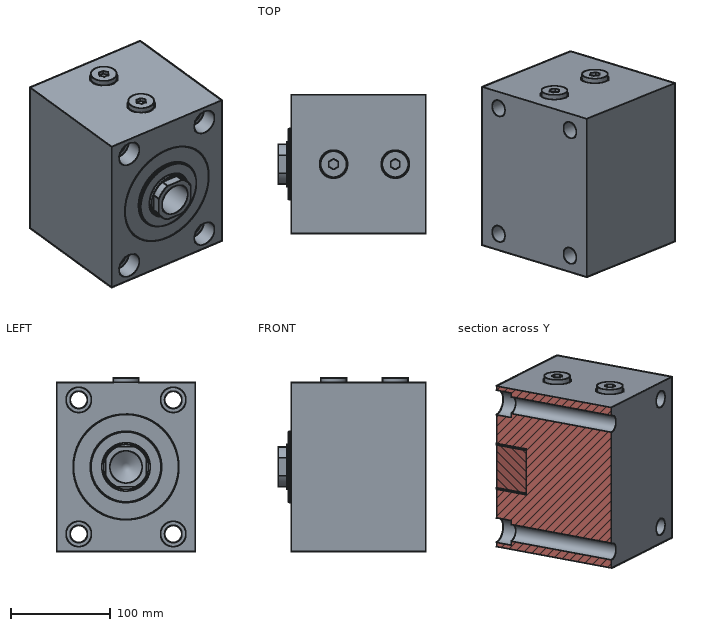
import cadquery as cq
import math

BLOCK_LENGTH = 135.7
BLOCK_WIDTH = 140.0
BLOCK_HEIGHT = 170.4
EDGE_CHAMFER = 0.3

BOLT_SPACING_Y = 95.1
BOLT_SPACING_Z = 135.0
BOLT_HOLE_DIAMETER = 17.1
BOLT_HEAD_DIAMETER = 25.5
BOLT_HEAD_DEPTH = 17.5

BORE_DIAMETER = 106.7
GLAND_CLEARANCE = 0.5
GLAND_DEPTH = 35.0
BOSS_DIAMETER = 72.0
BOSS_HEIGHT = 3.0
BOSS_CHAMFER_HEIGHT = 1.4
BOSS_CHAMFER_WIDTH = 0.9
GLAND_RECESS_DIAMETER = 48.8
GLAND_RECESS_DEPTH = 1.5

ROD_DIAMETER = 45.3
ROD_COLLAR_HEIGHT = 1.4
ROD_PROJECTION = 13.3
ROD_HEAD_DIAMETER = 44.2
ROD_ACROSS_FLATS = 40.4
ROD_HOLE_DIAMETER = 32.5
ROD_HOLE_DEPTH = 31.5
DRILL_TIP_ANGLE = 118.0

PLUG_X = (42.7, 104.8)
PLUG_DIAMETER = 26.0
PLUG_PROJECTION = 4.5
SPOTFACE_DIAMETER = 28.3
SPOTFACE_DEPTH = 1.7
SOCKET_ACROSS_FLATS = 9.3
SOCKET_DEPTH = 3.5

BLOCK_TOP = BLOCK_HEIGHT / 2
GLAND_DIAMETER = BORE_DIAMETER - 2 * GLAND_CLEARANCE
BOSS_FACE_X = -BOSS_HEIGHT
COLLAR_FACE_X = BOSS_FACE_X - ROD_COLLAR_HEIGHT
ROD_END_X = -ROD_PROJECTION


def x_cylinder(diameter, x_start, x_end):
    """Cylinder on the X axis between two X positions."""
    return cq.Workplane("YZ", origin=(x_start, 0, 0)).circle(diameter / 2).extrude(x_end - x_start)


def z_cylinder(diameter, x, z_start, z_end):
    """Upright cylinder at a given X position between two heights."""
    return cq.Workplane("XY", origin=(x, 0, z_start)).circle(diameter / 2).extrude(z_end - z_start)


def make_housing():
    block = cq.Workplane("XY").box(BLOCK_LENGTH, BLOCK_WIDTH, BLOCK_HEIGHT, centered=(False, True, True))
    block = block.faces(">Z").edges("<Y").chamfer(EDGE_CHAMFER)
    block = block.cut(x_cylinder(BORE_DIAMETER, 0, GLAND_DEPTH))
    for x in PLUG_X:
        block = block.cut(z_cylinder(SPOTFACE_DIAMETER, x, BLOCK_TOP - SPOTFACE_DEPTH, BLOCK_TOP))
    for side_y in (-1, 1):
        for side_z in (-1, 1):
            position = (0, side_y * BOLT_SPACING_Y / 2, side_z * BOLT_SPACING_Z / 2)
            block = block.cut(x_cylinder(BOLT_HOLE_DIAMETER, 0, BLOCK_LENGTH).translate(position))
            block = block.cut(x_cylinder(BOLT_HEAD_DIAMETER, 0, BOLT_HEAD_DEPTH).translate(position))
    return block


def make_gland():
    """Turned ring that closes the bore and guides the rod."""
    rod_radius = ROD_DIAMETER / 2
    recess_radius = GLAND_RECESS_DIAMETER / 2
    boss_radius = BOSS_DIAMETER / 2
    flange_radius = GLAND_DIAMETER / 2
    recess_floor_x = BOSS_FACE_X + GLAND_RECESS_DEPTH
    half_section = [
        (GLAND_DEPTH, rod_radius),
        (recess_floor_x, rod_radius),
        (recess_floor_x, recess_radius),
        (BOSS_FACE_X, recess_radius),
        (BOSS_FACE_X, boss_radius - BOSS_CHAMFER_WIDTH),
        (BOSS_FACE_X + BOSS_CHAMFER_HEIGHT, boss_radius),
        (0, boss_radius),
        (0, flange_radius),
        (GLAND_DEPTH, flange_radius),
    ]
    return cq.Workplane("XY").polyline(half_section).close().revolve(360, (0, 0, 0), (1, 0, 0))


def make_rod():
    """Rod with a collar, a four-flat head and a blind drilled hole."""
    rod = x_cylinder(ROD_DIAMETER, COLLAR_FACE_X, GLAND_DEPTH)
    flats = cq.Workplane("YZ", origin=(ROD_END_X, 0, 0)).rect(ROD_ACROSS_FLATS, ROD_ACROSS_FLATS)
    head_length = COLLAR_FACE_X - ROD_END_X
    head = x_cylinder(ROD_HEAD_DIAMETER, ROD_END_X, COLLAR_FACE_X).intersect(flats.extrude(head_length))
    hole_radius = ROD_HOLE_DIAMETER / 2
    hole_shoulder_x = ROD_END_X + ROD_HOLE_DEPTH
    tip_length = hole_radius / math.tan(math.radians(DRILL_TIP_ANGLE / 2))
    hole_section = [
        (ROD_END_X, 0),
        (ROD_END_X, hole_radius),
        (hole_shoulder_x, hole_radius),
        (hole_shoulder_x + tip_length, 0),
    ]
    hole = cq.Workplane("XY").polyline(hole_section).close().revolve(360, (0, 0, 0), (1, 0, 0))
    return rod.union(head).cut(hole)


def make_plug(x):
    """Round port plug with a hexagon socket, seated on its spotface."""
    plug_top = BLOCK_TOP + PLUG_PROJECTION
    plug = z_cylinder(PLUG_DIAMETER, x, BLOCK_TOP - SPOTFACE_DEPTH, plug_top)
    across_corners = SOCKET_ACROSS_FLATS / math.cos(math.pi / 6)
    socket = (
        cq.Workplane("XY", origin=(x, 0, plug_top))
        .transformed(rotate=(0, 0, 90))
        .polygon(6, across_corners)
        .extrude(-SOCKET_DEPTH)
    )
    return plug.cut(socket)


housing = make_housing()
gland = make_gland()
rod = make_rod()
plugs = [make_plug(x) for x in PLUG_X]

result = cq.Compound.makeCompound([housing.val(), gland.val(), rod.val(), *[plug.val() for plug in plugs]])